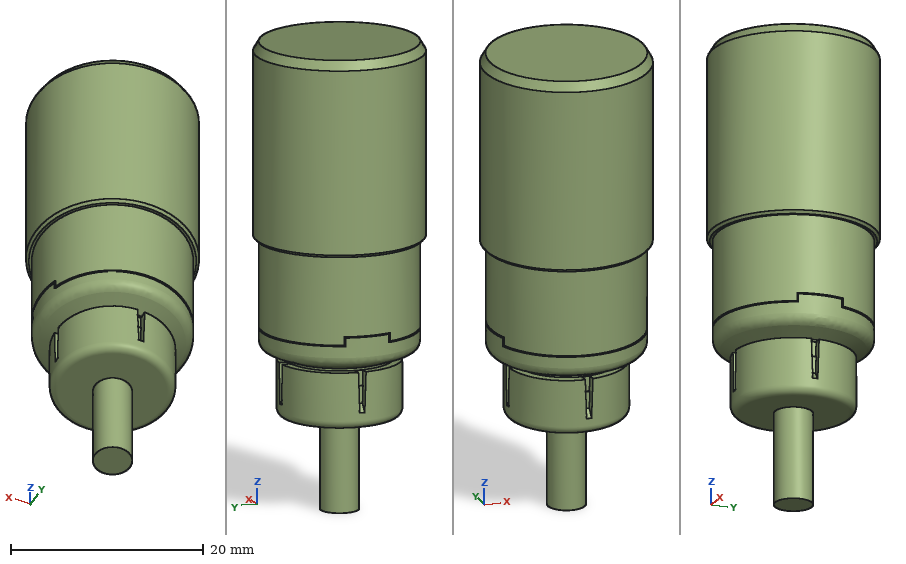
import cadquery as cq

TOTAL_HEIGHT = 50.05
HEAD_RADIUS = 9
HEAD_BOTTOM = 29.05
HEAD_TOP_CHAMFER_HEIGHT = 1.0
HEAD_BOTTOM_CHAMFER = 0.3

BODY_RADIUS = 8.4
CAP_CONE_TOP = 17.35
CAP_ROUND = 1.15
CAP_TIP_RADIUS = 5.6
CAP_TIP_HEIGHT = 16.35
SEAM_HEIGHT = 19.4
SEAM_WIDTH = 0.1
SEAM_DEPTH = 0.1
TAB_WIDTH = 4.85
TAB_RISE = 0.9

NUT_RADIUS = 6.55
NUT_TOP = 16.1
NUT_BOTTOM = 10.05
NUT_ROUND = 0.85

SLOT_COUNT = 4
SLOT_MOUTH_WIDTH = 0.85
SLOT_FOOT_WIDTH = 0.55
SLOT_BOTTOM = 11.75
SLOT_RAMP_TOP = 12.6
SLOT_LEDGE_HEIGHT = 14.45
SLOT_DEPTH = 0.75
SLOT_MOUTH_DEPTH = 0.9

CABLE_RADIUS = 2.05


def cylinder(radius, bottom, top):
    return cq.Workplane("XY").workplane(offset=bottom).circle(radius).extrude(top - bottom)


def make_head():
    """Upper sleeve, with a steep chamfer around its top rim and a small one underneath."""
    head = cylinder(HEAD_RADIUS, HEAD_BOTTOM, TOTAL_HEIGHT)
    top_inset = HEAD_RADIUS - BODY_RADIUS
    head = head.faces(">Z").chamfer(HEAD_TOP_CHAMFER_HEIGHT, top_inset)
    return head.faces("<Z").chamfer(HEAD_BOTTOM_CHAMFER)


def make_body():
    """Body and end cap: a cylinder rounding into a shallow cone that meets the neck."""
    body = (
        cq.Workplane("XZ")
        .moveTo(0, HEAD_BOTTOM)
        .lineTo(BODY_RADIUS, HEAD_BOTTOM)
        .lineTo(BODY_RADIUS, CAP_CONE_TOP)
        .lineTo(CAP_TIP_RADIUS, CAP_TIP_HEIGHT)
        .lineTo(CAP_TIP_RADIUS, NUT_TOP)
        .lineTo(0, NUT_TOP)
        .close()
        .revolve(360, (0, 0, 0), (0, 1, 0))
    )
    cone_rim = cq.selectors.NearestToPointSelector((0, 0, CAP_CONE_TOP))
    return body.edges("%CIRCLE").edges(cone_rim).fillet(CAP_ROUND)


def tabbed_cap_blank(clearance):
    """Everything below the stepped parting surface, raised and widened by a clearance."""
    across = 4 * BODY_RADIUS
    top = SEAM_HEIGHT + clearance
    height = top - CAP_TIP_HEIGHT
    base = cq.Workplane("XY").workplane(offset=CAP_TIP_HEIGHT)
    blank = base.rect(across, across).extrude(height)
    tabs = base.rect(across, TAB_WIDTH + 2 * clearance).extrude(height + TAB_RISE)
    return blank.union(tabs)


def make_seam():
    """Shallow groove that steps up around the cap tabs on the two X sides."""
    skin = cylinder(BODY_RADIUS, CAP_TIP_HEIGHT, HEAD_BOTTOM).cut(
        cylinder(BODY_RADIUS - SEAM_DEPTH, CAP_TIP_HEIGHT, HEAD_BOTTOM)
    )
    gap = tabbed_cap_blank(SEAM_WIDTH).cut(tabbed_cap_blank(0))
    return skin.intersect(gap)


def make_nut():
    return cylinder(NUT_RADIUS, NUT_BOTTOM, NUT_TOP).faces("<Z").edges().fillet(NUT_ROUND)


def make_slot(angle):
    """Cutter for one tapered slot with a ramped foot, open at the top and the outer side."""
    foot_radius = NUT_RADIUS - SLOT_DEPTH
    mouth_radius = NUT_RADIUS - SLOT_MOUTH_DEPTH
    side_profile = (
        cq.Workplane("XZ")
        .moveTo(NUT_RADIUS, SLOT_BOTTOM)
        .lineTo(foot_radius, SLOT_RAMP_TOP)
        .lineTo(foot_radius, SLOT_LEDGE_HEIGHT)
        .lineTo(mouth_radius, SLOT_LEDGE_HEIGHT)
        .lineTo(mouth_radius, NUT_TOP)
        .lineTo(NUT_RADIUS, NUT_TOP)
        .close()
        .extrude(SLOT_MOUTH_WIDTH, both=True)
    )
    taper = (
        cq.Workplane("YZ")
        .moveTo(-SLOT_FOOT_WIDTH / 2, SLOT_BOTTOM)
        .lineTo(SLOT_FOOT_WIDTH / 2, SLOT_BOTTOM)
        .lineTo(SLOT_MOUTH_WIDTH / 2, NUT_TOP)
        .lineTo(-SLOT_MOUTH_WIDTH / 2, NUT_TOP)
        .close()
        .extrude(NUT_RADIUS)
    )
    return side_profile.intersect(taper).rotate((0, 0, 0), (0, 0, 1), angle)


nut = make_nut()
for index in range(SLOT_COUNT):
    nut = nut.cut(make_slot(index * 360 / SLOT_COUNT))

body = make_body().cut(make_seam())
cable = cylinder(CABLE_RADIUS, 0, NUT_TOP)
result = make_head().union(body).union(nut).union(cable)